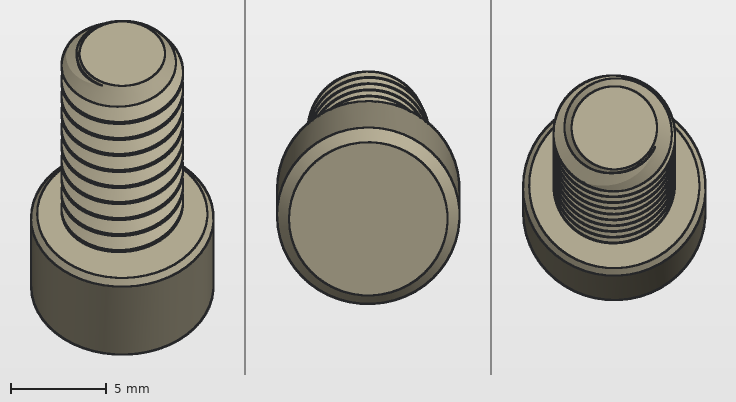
import cadquery as cq
import math

total_length = 19.05
head_diameter = 9.52
head_height = total_length / 3
head_bottom_chamfer = 0.63
head_top_chamfer = 0.32
shank_length = total_length - head_height

thread_turns = 10
pitch = shank_length / thread_turns
major_radius = head_height / 2
flat_width = pitch / 8
flank_slope = math.tan(math.radians(30))
thread_depth = (pitch / 2 - flat_width) / flank_slope
minor_radius = major_radius - thread_depth

groove_phase = 0.21

tip_radius = 2.23
tip_chamfer = major_radius - tip_radius


def make_head():
    head = cq.Workplane("XY").circle(head_diameter / 2).extrude(head_height)
    head = head.faces("<Z").chamfer(head_bottom_chamfer)
    return head.faces(">Z").chamfer(head_top_chamfer)


def make_shank():
    shank = cq.Workplane("XY").workplane(offset=head_height).circle(major_radius)
    shank = shank.extrude(shank_length)
    return shank.faces(">Z").chamfer(tip_chamfer)


def make_thread_groove():
    """Helical V groove that overruns both ends of the shank."""
    overrun = 2 * pitch
    radial_overcut = 0.1
    start_height = head_height + groove_phase - overrun
    helix_height = shank_length + 2 * overrun
    outer_radius = major_radius + radial_overcut
    root_half_width = flat_width / 2
    mouth_half_width = root_half_width + (outer_radius - minor_radius) * flank_slope

    corners = [
        (minor_radius, -root_half_width),
        (outer_radius, -mouth_half_width),
        (outer_radius, mouth_half_width),
        (minor_radius, root_half_width),
    ]
    helices = [
        cq.Wire.makeHelix(pitch, helix_height, radius, center=cq.Vector(0, 0, start_height + height))
        for radius, height in corners
    ]
    sides = [
        cq.Face.makeRuledSurface(helices[index - 1], helices[index])
        for index in range(len(helices))
    ]
    ends = []
    for place in (0, 1):
        section = [helix.positionAt(place) for helix in helices]
        ends.append(cq.Face.makeFromWires(cq.Wire.makePolygon(section, close=True)))
    groove = cq.Solid.makeSolid(cq.Shell.makeShell(sides + ends))
    return cq.Workplane(obj=groove.fix())


threaded_shank = make_shank().cut(make_thread_groove())
result = make_head().union(threaded_shank)